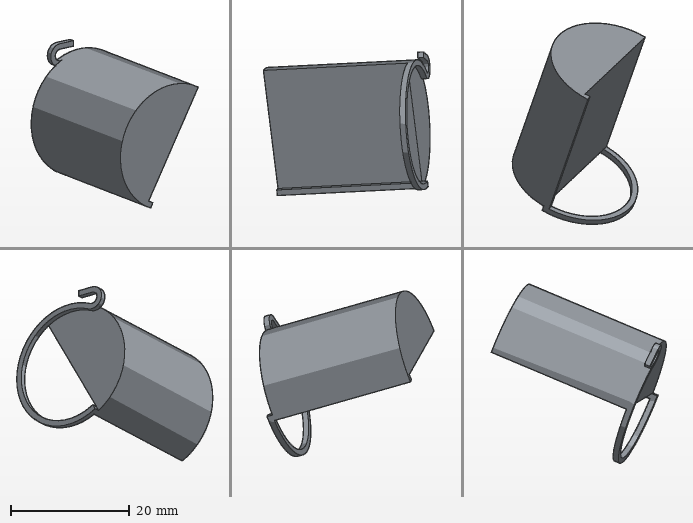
import cadquery as cq
import math

length = 26.0
outer_diameter = 22.0
wall = 1.0
hook_radius = 2.0
tip_offset = 2.0
cut_angle = 120.0

outer_radius = outer_diameter / 2
inner_radius = outer_radius - wall
hook_inner_radius = hook_radius - wall
lower_angle = cut_angle - 180
lip_angle = -math.degrees(math.asin(inner_radius / outer_radius))

hook_z = outer_radius
center_distance = inner_radius + hook_radius
hook_y = -math.sqrt(center_distance**2 - hook_z**2)
hook_angle = math.degrees(math.atan2(hook_z, -hook_y))


def polar(radius, angle):
    """(Y, Z) point at an angle measured from -Y toward +Z."""
    a = math.radians(angle)
    return -radius * math.cos(a), radius * math.sin(a)


def hook_point(radius, angle):
    """(Y, Z) point on a circle about the center of the hook bend."""
    y, z = polar(radius, angle)
    return hook_y + y, hook_z + z


def make_half_cylinder():
    """Solid half cylinder with a narrow lip past its lower edge, behind the ring."""
    arc_middle = (cut_angle + lip_angle) / 2
    lip_middle = (lower_angle + lip_angle) / 2
    return (
        cq.Workplane("YZ", origin=(wall, 0, 0))
        .moveTo(*polar(outer_radius, cut_angle))
        .threePointArc(polar(outer_radius, arc_middle), polar(outer_radius, lip_angle))
        .lineTo(*polar(inner_radius, lip_angle))
        .threePointArc(polar(inner_radius, lip_middle), polar(inner_radius, lower_angle))
        .close()
        .extrude(length - wall)
    )


def make_ring_and_hook():
    """Open ring whose upper end bends back into a hook with a straight tip."""
    ring_end = lower_angle + 360
    ring_middle = (hook_angle + ring_end) / 2
    bend_start = hook_angle - 180
    bend_middle = (bend_start + 90) / 2
    return (
        cq.Workplane("YZ")
        .moveTo(*polar(outer_radius, ring_end))
        .threePointArc(polar(outer_radius, ring_middle), polar(outer_radius, hook_angle))
        .threePointArc(hook_point(hook_inner_radius, bend_middle), hook_point(hook_inner_radius, 90))
        .lineTo(-tip_offset, hook_z + hook_inner_radius)
        .lineTo(-tip_offset, hook_z + hook_radius)
        .lineTo(*hook_point(hook_radius, 90))
        .threePointArc(hook_point(hook_radius, bend_middle), hook_point(hook_radius, bend_start))
        .threePointArc(polar(inner_radius, ring_middle), polar(inner_radius, ring_end))
        .close()
        .extrude(wall)
    )


result = make_half_cylinder().union(make_ring_and_hook())